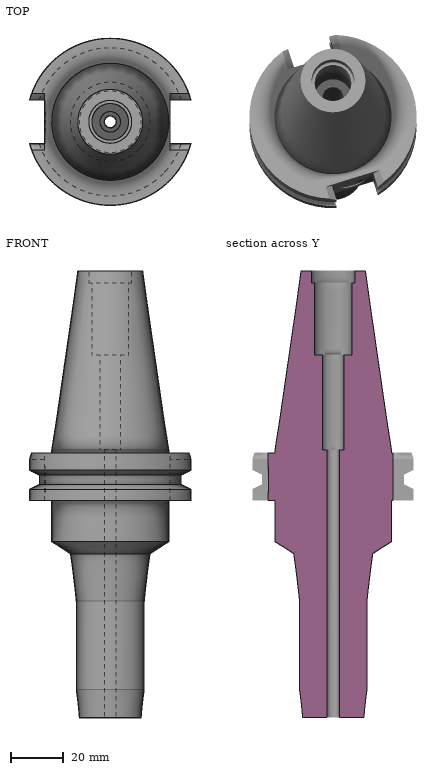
import cadquery as cq

TOTAL_LENGTH = 169.8

TAPER_LENGTH = 68.1
TAPER_LARGE_RADIUS = 22.3
TAPER_RATE = 7 / 24
TAPER_SMALL_RADIUS = TAPER_LARGE_RADIUS - TAPER_LENGTH * TAPER_RATE / 2
NECK_LENGTH = 1.0

FLANGE_RADIUS = 31.8
FLANGE_THICKNESS = 18.2
UPPER_RIM_THICKNESS = 6.6
LOWER_RIM_THICKNESS = 4.2
GROOVE_DEPTH = 3.5
GROOVE_FLANK_HEIGHT = 1.9

COLLAR_RADIUS = 22.3
COLLAR_LENGTH = 15.6
SHOULDER_LENGTH = 4.6
SHANK_TOP_RADIUS = 15.1
SHANK_TAPER_LENGTH = 18.0
SHANK_RADIUS = 12.9
NOSE_LENGTH = 10.7
NOSE_TIP_RADIUS = 11.7

SLOT_WIDTH = 16.5
SLOT_CHAMFER = 2.5
LEFT_SLOT_FLOOR = 25.0
RIGHT_SLOT_FLOOR = 22.8
RECESS_RADIUS = 5.0
RECESS_DEPTH = 0.3

BORE_STEPS = [
    (8.2, 4.6),
    (7.0, 32.0),
    (3.9, 68.0),
    (2.2, TOTAL_LENGTH),
]

TAPER_BOTTOM = TOTAL_LENGTH - TAPER_LENGTH
FLANGE_TOP = TAPER_BOTTOM - NECK_LENGTH
FLANGE_BOTTOM = FLANGE_TOP - FLANGE_THICKNESS
GROOVE_TOP = FLANGE_TOP - UPPER_RIM_THICKNESS
GROOVE_BOTTOM = FLANGE_BOTTOM + LOWER_RIM_THICKNESS
GROOVE_MIDDLE = (GROOVE_TOP + GROOVE_BOTTOM) / 2


def turned_body():
    """Revolve the half outline from the top of the taper down to the nose."""
    groove_radius = FLANGE_RADIUS - GROOVE_DEPTH
    collar_bottom = FLANGE_BOTTOM - COLLAR_LENGTH
    shoulder_bottom = collar_bottom - SHOULDER_LENGTH
    outline = [
        (0, TOTAL_LENGTH),
        (TAPER_SMALL_RADIUS, TOTAL_LENGTH),
        (TAPER_LARGE_RADIUS, TAPER_BOTTOM),
        (TAPER_LARGE_RADIUS, FLANGE_TOP),
        (FLANGE_RADIUS, FLANGE_TOP),
        (FLANGE_RADIUS, GROOVE_TOP),
        (groove_radius, GROOVE_TOP - GROOVE_FLANK_HEIGHT),
        (groove_radius, GROOVE_BOTTOM + GROOVE_FLANK_HEIGHT),
        (FLANGE_RADIUS, GROOVE_BOTTOM),
        (FLANGE_RADIUS, FLANGE_BOTTOM),
        (COLLAR_RADIUS, FLANGE_BOTTOM),
        (COLLAR_RADIUS, collar_bottom),
        (SHANK_TOP_RADIUS, shoulder_bottom),
        (SHANK_RADIUS, shoulder_bottom - SHANK_TAPER_LENGTH),
        (SHANK_RADIUS, NOSE_LENGTH),
        (NOSE_TIP_RADIUS, 0),
        (0, 0),
    ]
    return cq.Workplane("YZ").polyline(outline).close().revolve(360, (0, 0), (0, 1))


def drive_slot(side, floor):
    """Slot cutter with a chamfered mouth at the flange top; side is +1 or -1 along X."""
    half_width = SLOT_WIDTH / 2
    half_mouth = half_width + SLOT_CHAMFER
    section = [
        (-half_width, FLANGE_BOTTOM),
        (half_width, FLANGE_BOTTOM),
        (half_width, FLANGE_TOP - SLOT_CHAMFER),
        (half_mouth, FLANGE_TOP),
        (-half_mouth, FLANGE_TOP),
        (-half_width, FLANGE_TOP - SLOT_CHAMFER),
    ]
    return (
        cq.Workplane("YZ", origin=(side * floor, 0, 0))
        .polyline(section)
        .close()
        .extrude(side * FLANGE_RADIUS)
    )


def floor_recess(side, floor):
    """Shallow round recess cutter in a slot floor, level with the middle of the V-groove."""
    return (
        cq.Workplane("YZ", origin=(side * floor, 0, GROOVE_MIDDLE))
        .circle(RECESS_RADIUS)
        .extrude(-side * RECESS_DEPTH)
    )


def bore_step(radius, depth):
    """Cylindrical cutter sunk from the top face."""
    return cq.Workplane("XY", origin=(0, 0, TOTAL_LENGTH)).circle(radius).extrude(-depth)


result = turned_body()
for side, floor in [(-1, LEFT_SLOT_FLOOR), (1, RIGHT_SLOT_FLOOR)]:
    result = result.cut(drive_slot(side, floor))
result = result.cut(floor_recess(-1, LEFT_SLOT_FLOOR))
for radius, depth in BORE_STEPS:
    result = result.cut(bore_step(radius, depth))